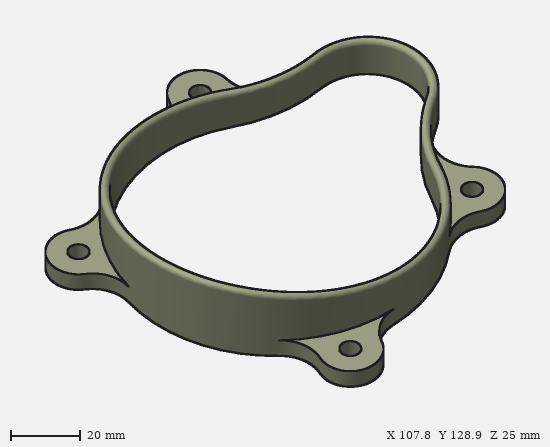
import cadquery as cq
import math

main_radius = 50.8
lobe_radius = 20.6
blend_radius = 49.5
ring_length = 128.9
wall = 3.0
lobe_y = ring_length - main_radius - lobe_radius

rim_low_y = 59.3
rim_low_height = 12.6
rim_curve_radius = 480.8
rim_fillet = 1.4
blank_height = 32.2

hole_x = 44.3
hole_y = 38.0
hole_diameter = 6.3
ear_radius = 9.6
ear_fillet = 12.5
ear_thickness = 6.2


def circles_meet(center_a, radius_a, center_b, radius_b):
    """Crossing point of two circles that lies left of the direction from a to b."""
    dx = center_b[0] - center_a[0]
    dy = center_b[1] - center_a[1]
    distance = math.hypot(dx, dy)
    along = (radius_a**2 - radius_b**2 + distance**2) / (2 * distance)
    across = math.sqrt(radius_a**2 - along**2)
    return (
        center_a[0] + (along * dx - across * dy) / distance,
        center_a[1] + (along * dy + across * dx) / distance,
    )


def point_toward(center, target, radius):
    """Point at the given radius from center, in the direction of target."""
    angle = math.atan2(target[1] - center[1], target[0] - center[0])
    return (center[0] + radius * math.cos(angle), center[1] + radius * math.sin(angle))


def arc_middle(center, start, end, radius):
    """Middle point of the shorter arc from start to end."""
    chord_middle = ((start[0] + end[0]) / 2, (start[1] + end[1]) / 2)
    return point_toward(center, chord_middle, radius)


def mirrored(point):
    return (-point[0], point[1])


origin = (0.0, 0.0)
lobe_center = (0.0, lobe_y)
blend_center = circles_meet(
    origin, main_radius + blend_radius, lobe_center, lobe_radius + blend_radius
)


def ring_solid(inset, height):
    """Solid inside the ring outline, moved inward by inset."""
    main = main_radius - inset
    lobe = lobe_radius - inset
    blend = blend_radius + inset
    main_joint = point_toward(origin, blend_center, main)
    lobe_joint = point_toward(lobe_center, blend_center, lobe)
    blend_middle = arc_middle(blend_center, main_joint, lobe_joint, blend)
    return (
        cq.Workplane("XY")
        .moveTo(*main_joint)
        .threePointArc(blend_middle, lobe_joint)
        .threePointArc((0, lobe_y + lobe), mirrored(lobe_joint))
        .threePointArc(mirrored(blend_middle), mirrored(main_joint))
        .threePointArc((0, -main), main_joint)
        .close()
        .extrude(height)
    )


def ring_wall():
    """Thin wall with its top following the curve and both rim edges rounded."""
    blank = ring_solid(0, blank_height).cut(ring_solid(wall, blank_height))
    rim_cutter = (
        cq.Workplane("YZ")
        .center(rim_low_y, rim_low_height + rim_curve_radius)
        .circle(rim_curve_radius)
        .extrude(main_radius + wall, both=True)
    )
    return blank.cut(rim_cutter).faces(">Z").edges().fillet(rim_fillet)


def ear(hole, first_center, first_wall_point, last_center, last_wall_point):
    """Ear around a hole, joined to the ring by a tangent fillet on each side."""
    first_joint = point_toward(hole, first_center, ear_radius)
    last_joint = point_toward(hole, last_center, ear_radius)
    return (
        cq.Workplane("XY")
        .moveTo(*first_wall_point)
        .threePointArc(
            arc_middle(first_center, first_wall_point, first_joint, ear_fillet), first_joint
        )
        .threePointArc(point_toward(origin, hole, math.hypot(*hole) + ear_radius), last_joint)
        .threePointArc(
            arc_middle(last_center, last_joint, last_wall_point, ear_fillet), last_wall_point
        )
        .lineTo(*origin)
        .close()
        .extrude(ear_thickness)
    )


def left_ears():
    """The two ears on the -X side."""
    front_hole = (-hole_x, -hole_y)
    back_hole = (-hole_x, hole_y)
    to_main = main_radius + ear_fillet
    to_hole = ear_radius + ear_fillet

    outer_center = circles_meet(front_hole, to_hole, origin, to_main)
    inner_center = circles_meet(origin, to_main, front_hole, to_hole)
    front_ear = ear(
        front_hole,
        outer_center,
        point_toward(origin, outer_center, main_radius),
        inner_center,
        point_toward(origin, inner_center, main_radius),
    )

    back_outer = (outer_center[0], -outer_center[1])
    back_inner = circles_meet(blend_center, blend_radius - ear_fillet, back_hole, to_hole)
    back_ear = ear(
        back_hole,
        back_outer,
        point_toward(origin, back_outer, main_radius),
        back_inner,
        point_toward(blend_center, back_inner, blend_radius),
    )
    return front_ear.union(back_ear)


def all_ears():
    left = left_ears()
    holes = (
        cq.Workplane("XY")
        .rect(2 * hole_x, 2 * hole_y, forConstruction=True)
        .vertices()
        .circle(hole_diameter / 2)
        .extrude(ear_thickness)
    )
    return left.union(left.mirror("YZ")).cut(ring_solid(wall, ear_thickness)).cut(holes)


result = ring_wall().union(all_ears())